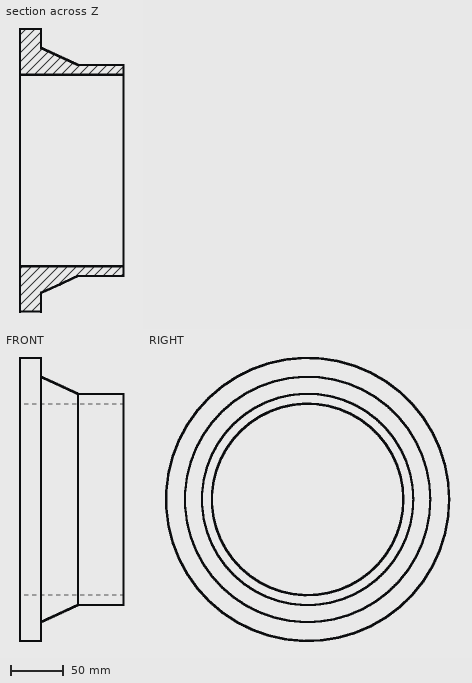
import cadquery as cq

flange_diameter = 268.0
hub_base_diameter = 232.0
neck_diameter = 200.0
bore_diameter = 181.0

total_length = 98.0
flange_thickness = 20.0
hub_length = 34.8

hub_end = flange_thickness + hub_length

half_section = [
    (0, bore_diameter / 2),
    (0, flange_diameter / 2),
    (flange_thickness, flange_diameter / 2),
    (flange_thickness, hub_base_diameter / 2),
    (hub_end, neck_diameter / 2),
    (total_length, neck_diameter / 2),
    (total_length, bore_diameter / 2),
]

result = (
    cq.Workplane("XY")
    .polyline(half_section)
    .close()
    .revolve(360, (0, 0, 0), (1, 0, 0))
)